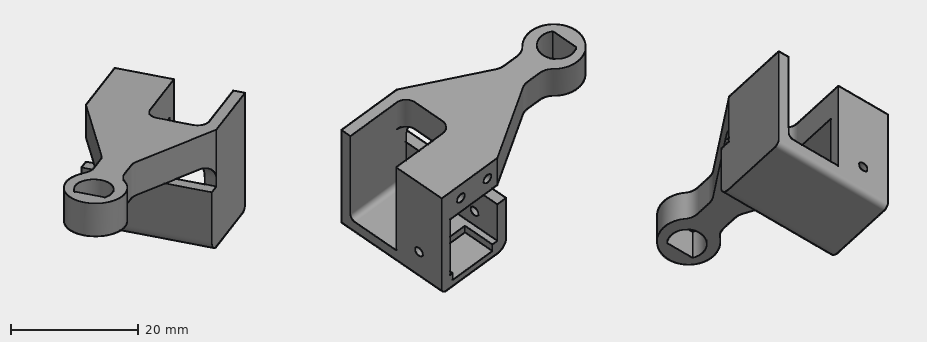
import cadquery as cq
import math

width = 22.0
length = 41.65
height = 21.2
center_x = width / 2

channel_depth = 14.57
back_wall = 1.9
floor_thickness = 2.85
front_wall_height = 10.9
inner_front = 12.58
end_wall = 2.0
front_edge_radius = 2.0
back_edge_radius = 1.0
end_wall_foot_radius = 1.0
end_wall_top_radius = 3.0

arm_thickness = 6.0
arm_bottom = height - arm_thickness
eye_radius = 5.0
eye_x = 10.9
eye_y = eye_radius - length
neck_half_width = 2.6
taper_angle = 29.7
neck_radius = 3.0

bore_radius = 3.12
bore_x = 10.83
bore_y = -37.2
bore_flat_y = -38.98

slot_width = 10.0
slot_length = 12.5
slot_corner_radius = 2.0

recess_length = 6.0
recess_back = 2.5
recess_width = 8.95
recess_floor = 1.37

hole_diameter = 1.7
wall_hole_x = 5.0
wall_hole_z = 5.9
side_hole_distances = (4.35, 10.33)
side_hole_depth = 6.0
drill_point_angle = 118.0


def box(x_range, y_range, z_range):
    """Box between pairs of limits along X, Y and Z."""
    spans = [high - low for low, high in (x_range, y_range, z_range)]
    corner = (x_range[0], y_range[0], z_range[0])
    return cq.Workplane("XY").box(*spans, centered=False).translate(corner)


def make_channel():
    """Floor, front wall, back wall and +X end wall."""
    body = box((0, width), (-channel_depth, 0), (0, height))
    body = body.edges("|X and <Z and <Y").fillet(front_edge_radius)
    body = body.edges("|X and <Z and >Y").fillet(back_edge_radius)
    cavity = box(
        (0, width - end_wall), (-inner_front, -back_wall), (floor_thickness, arm_bottom)
    )
    cavity = cavity.edges("|Y and >X and <Z").fillet(end_wall_foot_radius)
    above_front_wall = box((0, width), (-channel_depth, -inner_front), (front_wall_height, height))
    return body.cut(cavity).cut(above_front_wall)


def make_arm():
    """Plate tapering to a neck and a round eye."""
    taper_run = (center_x - neck_half_width) / math.tan(math.radians(taper_angle))
    neck_y = -inner_front - taper_run
    neck_left = center_x - neck_half_width
    neck_right = center_x + neck_half_width
    plate = (
        cq.Workplane("XY", origin=(0, 0, arm_bottom))
        .moveTo(0, 0)
        .lineTo(0, -inner_front)
        .lineTo(neck_left, neck_y)
        .lineTo(neck_left, eye_y)
        .lineTo(neck_right, eye_y)
        .lineTo(neck_right, neck_y)
        .lineTo(width, -inner_front)
        .lineTo(width, 0)
        .close()
        .extrude(arm_thickness)
    )
    eye = (
        cq.Workplane("XY", origin=(eye_x, eye_y, arm_bottom))
        .circle(eye_radius)
        .extrude(arm_thickness)
    )
    eye_joint_y = eye_y + math.sqrt(eye_radius**2 - neck_half_width**2)
    margin = 0.4
    neck_corners = cq.selectors.BoxSelector(
        (neck_left - margin, eye_joint_y - margin, arm_bottom),
        (neck_right + margin, neck_y + margin, height),
    )
    return plate.union(eye).edges("|Z").edges(neck_corners).fillet(neck_radius)


def make_end_wall_gusset():
    """Concave round joining the end wall to the underside of the arm."""
    r = end_wall_top_radius
    gusset = (
        cq.Workplane("YZ", origin=(width - end_wall, 0, 0))
        .moveTo(-inner_front, arm_bottom)
        .lineTo(-inner_front - r, arm_bottom)
        .radiusArc((-inner_front, arm_bottom - r), r)
        .close()
        .extrude(end_wall)
    )
    beyond_taper = (
        cq.Workplane("XY", origin=(0, 0, arm_bottom - r))
        .moveTo(width, -inner_front)
        .lineTo(width, -inner_front - r)
        .lineTo(width - r * math.tan(math.radians(taper_angle)), -inner_front - r)
        .close()
        .extrude(r)
    )
    return gusset.cut(beyond_taper)


def make_slot():
    """Slot through the arm, rounded at its closed end."""
    right = width - end_wall
    slot = box((right - slot_width, right), (-slot_length, slot_length), (arm_bottom, height))
    return slot.edges("|Z and <Y").fillet(slot_corner_radius)


def make_back_opening():
    """Gap in the back wall below the slot, reaching down to the channel floor."""
    right = width - end_wall
    opening = box((right - slot_width, right), (-back_wall, 0), (floor_thickness, arm_bottom))
    return opening.edges("|Y and >X and <Z").fillet(end_wall_foot_radius)


def make_bore():
    """Round bore with one flat side facing the tip."""
    bore = (
        cq.Workplane("XY", origin=(bore_x, bore_y, arm_bottom))
        .circle(bore_radius)
        .extrude(arm_thickness)
    )
    beyond_flat = box(
        (bore_x - bore_radius, bore_x + bore_radius), (-length, bore_flat_y), (arm_bottom, height)
    )
    return bore.cut(beyond_flat)


def make_side_hole(distance):
    """Blind drilled hole entering the -X face at a distance from the back."""
    radius = hole_diameter / 2
    point_depth = radius / math.tan(math.radians(drill_point_angle / 2))
    return (
        cq.Workplane("XY")
        .lineTo(0, radius)
        .lineTo(side_hole_depth, radius)
        .lineTo(side_hole_depth + point_depth, 0)
        .close()
        .revolve(360, (0, 0, 0), (1, 0, 0))
        .translate((0, -distance, arm_bottom + arm_thickness / 2))
    )


recess = box(
    (0, recess_length), (-recess_back - recess_width, -recess_back), (recess_floor, floor_thickness)
)
wall_hole = (
    cq.Workplane("XZ", origin=(wall_hole_x, 0, wall_hole_z))
    .circle(hole_diameter / 2)
    .extrude(channel_depth)
)

result = make_channel().union(make_arm()).union(make_end_wall_gusset())
result = result.cut(make_slot()).cut(make_back_opening()).cut(make_bore()).cut(recess).cut(wall_hole)
for hole_distance in side_hole_distances:
    result = result.cut(make_side_hole(hole_distance))